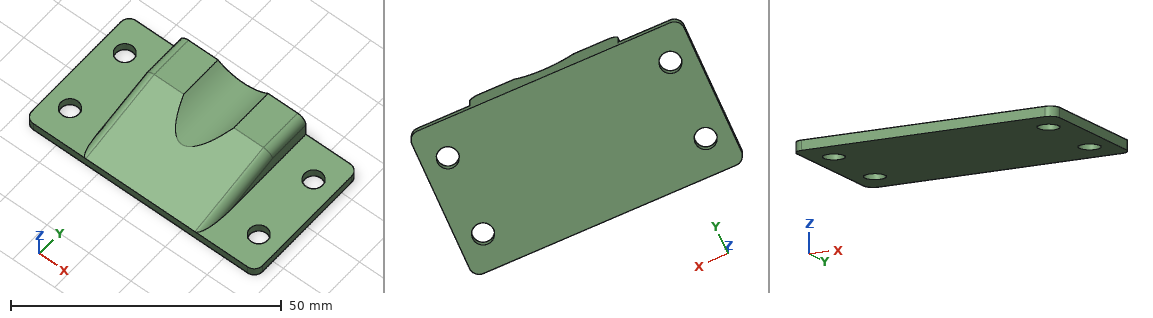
import cadquery as cq

plate_length = 55.0
plate_width = 30.0
plate_thickness = 2.0
corner_radius = 2.0

hole_diameter = 4.25
hole_spacing_x = 45.0
hole_spacing_y = 16.0

total_height = 7.0
block_length = 30.0
flat_depth = 10.0
block_edge_radius = 2.0

groove_radius = 10.0
groove_depth = 2.0

back_y = plate_width / 2
front_y = -back_y
ramp_top_y = back_y - flat_depth


def make_plate():
    """Rounded plate resting on Z = 0, with four through holes."""
    return (
        cq.Workplane("XY")
        .box(plate_length, plate_width, plate_thickness, centered=(True, True, False))
        .edges("|Z")
        .fillet(corner_radius)
        .faces(">Z")
        .workplane()
        .rect(hole_spacing_x, hole_spacing_y, forConstruction=True)
        .vertices()
        .hole(hole_diameter)
    )


def make_block():
    """Ramped block, reaching down through the plate so its rounded edges run out into it."""
    block = (
        cq.Workplane("YZ")
        .moveTo(front_y, 0)
        .lineTo(back_y, 0)
        .lineTo(back_y, total_height)
        .lineTo(ramp_top_y, total_height)
        .lineTo(front_y, plate_thickness)
        .close()
        .extrude(block_length / 2, both=True)
    )
    upper_edges = block.faces("<X or >X").edges("not (|Z or <Z)")
    return upper_edges.fillet(block_edge_radius)


def make_groove():
    """Horizontal cylinder that sinks into the block by the groove depth."""
    axis_height = total_height - groove_depth + groove_radius
    return (
        cq.Workplane("XZ")
        .center(0, axis_height)
        .circle(groove_radius)
        .extrude(plate_width / 2, both=True)
    )


result = make_plate().union(make_block()).cut(make_groove())